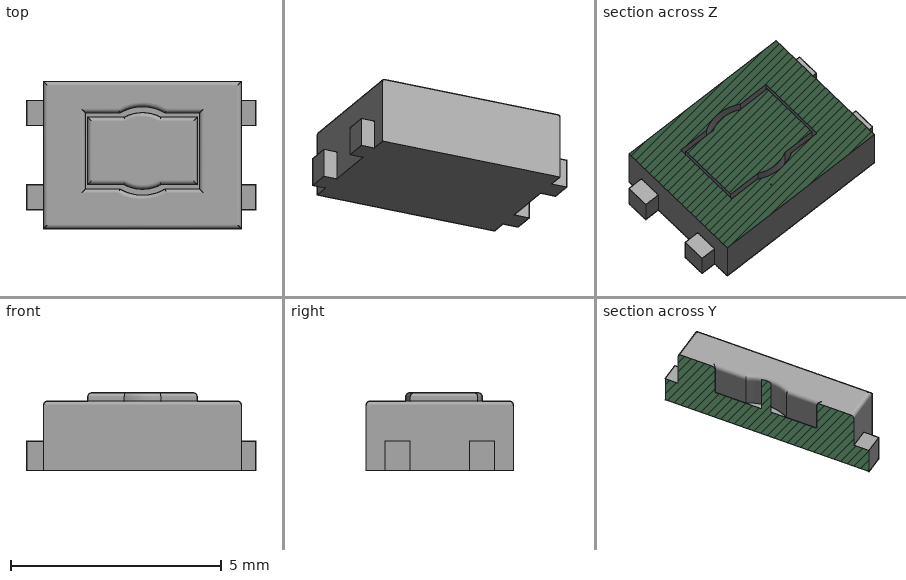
import cadquery as cq

body_length = 4.7
body_width = 3.5
body_height = 1.65
base_height = body_height / 2
edge_radius = 0.1

button_length = 2.6
button_width = 1.6
button_lobe_radius = 0.91
button_offset_y = 0.1
total_height = 1.85

opening_length = 2.7
opening_width = 1.8
opening_lobe_radius = 1.05

terminal_width = 0.6
terminal_height = 0.7
terminal_pitch = 2.0
left_terminal_reach = 0.4
right_terminal_reach = 0.34


def lobed_prism(length, width, lobe_radius, bottom, top):
    """Rectangular prism whose long sides bulge along a circle about its centre."""
    height = top - bottom
    plane = cq.Workplane("XY", origin=(0, button_offset_y, bottom))
    return plane.rect(length, width).extrude(height).union(plane.circle(lobe_radius).extrude(height))


def make_base():
    return cq.Workplane("XY").box(body_length, body_width, base_height, centered=(True, True, False))


def make_cover():
    """Cover with rounded top edges and an opening that has a rounded rim."""
    cover_height = body_height - base_height
    block = cq.Workplane("XY", origin=(0, 0, base_height)).box(
        body_length, body_width, cover_height, centered=(True, True, False)
    )
    opening = lobed_prism(opening_length, opening_width, opening_lobe_radius, base_height, body_height)
    return block.cut(opening).faces(">Z").edges().fillet(edge_radius)


def make_button():
    button = lobed_prism(button_length, button_width, button_lobe_radius, base_height, total_height)
    return button.faces(">Z").edges().fillet(edge_radius)


def make_terminal(side, reach, y):
    """Terminal block projecting from the end of the base on the given side (-1 or +1)."""
    x = side * (body_length + reach) / 2
    return cq.Workplane("XY", origin=(x, y, 0)).box(
        reach, terminal_width, terminal_height, centered=(True, True, False)
    )


result = make_base().union(make_cover(), clean=False).union(make_button(), clean=False)
for y in (-terminal_pitch / 2, terminal_pitch / 2):
    result = result.union(make_terminal(-1, left_terminal_reach, y), clean=False)
    result = result.union(make_terminal(1, right_terminal_reach, y), clean=False)